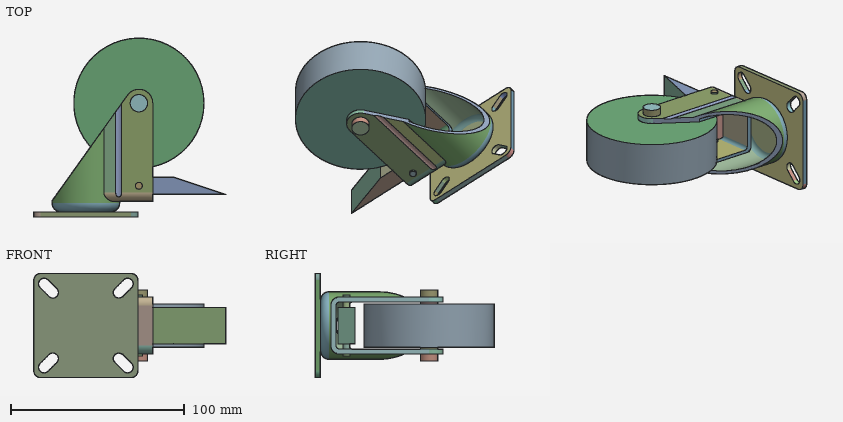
import cadquery as cq
import math


plate_side = 60.0
plate_thickness = 3.0
plate_corner_radius = 4.0
slot_radius = 3.15
slot_length = 13.4
slot_offset = 21.5
slot_angle = 45.0

cup_radius = 19.5
cup_wall = 2.0
cup_edge_radius = 5.0
slope_start_y = 9.3

wheel_radius = 37.5
wheel_width = 25.0
axle_x = 30.5
axle_y = 65.5
axle_radius = 5.0
axle_length = 41.0

fork_width = 33.0
fork_wall = 3.0
fork_bend_radius = 5.0
fork_start_x = 8.5
fork_base_y = 9.0
fork_eye_radius = 8.0
fork_end_x = axle_x + fork_eye_radius
fork_top_y = axle_y + fork_eye_radius

groove_x = 18.9
groove_radius = 2.8
groove_depth = 0.6

pedal_width = 21.0
pedal_thickness = 10.0
pedal_pin_y = 18.0
pedal_pin_radius = 2.0
pedal_pin_length = 35.0
pedal_flat_length = 20.0
pedal_reach = 50.0


def cylinder_along_y(x, z, radius, start_y, end_y):
    plane = cq.Plane(origin=(x, start_y, z), xDir=(1, 0, 0), normal=(0, 1, 0))
    return cq.Workplane(plane).circle(radius).extrude(end_y - start_y)


def cylinder_along_z(x, y, radius, length):
    return cq.Workplane("XY").center(x, y).circle(radius).extrude(length / 2, both=True)


def channel_block(width, start_y, bend_radius):
    """Block from the fork's start to its end, with its two lower long edges rounded."""
    block = cq.Workplane("XY").box(
        fork_end_x - fork_start_x, fork_top_y - start_y, width, centered=(False, False, True)
    )
    return block.edges("|X and <Y").fillet(bend_radius).translate((fork_start_x, start_y, 0))


def make_plate():
    plate = cq.Workplane("XZ").rect(plate_side, plate_side).extrude(-plate_thickness)
    plate = plate.edges("|Y").fillet(plate_corner_radius)
    for side_x in (-1, 1):
        for side_z in (-1, 1):
            slot = (
                cq.Workplane("XZ")
                .center(side_x * slot_offset, side_z * slot_offset)
                .slot2D(slot_length, 2 * slot_radius, slot_angle * side_x * side_z)
                .extrude(-plate_thickness)
            )
            plate = plate.cut(slot)
    return plate


def side_profile():
    """Solid bounded by the castor body's outline: a sloping front tangent to the fork eye."""
    slope_start_x = -cup_radius
    run = axle_x - slope_start_x
    rise = axle_y - slope_start_y
    slope = math.atan2(rise, run) + math.asin(fork_eye_radius / math.hypot(run, rise))
    tangent_x = axle_x - fork_eye_radius * math.sin(slope)
    tangent_y = axle_y + fork_eye_radius * math.cos(slope)
    return (
        cq.Workplane("XY")
        .moveTo(slope_start_x, 0)
        .lineTo(slope_start_x, slope_start_y)
        .lineTo(tangent_x, tangent_y)
        .threePointArc((axle_x, fork_top_y), (fork_end_x, axle_y))
        .lineTo(fork_end_x, 0)
        .close()
        .extrude(cup_radius, both=True)
    )


def make_body():
    """Swivel cup and fork, trimmed to the side outline."""
    cup = cylinder_along_y(0, 0, cup_radius, plate_thickness, fork_top_y)
    cup = cup.faces("<Y").edges().fillet(cup_edge_radius)
    cup_cavity = cylinder_along_y(0, 0, cup_radius - cup_wall, plate_thickness + cup_wall, fork_top_y)
    cup_cavity = cup_cavity.faces("<Y").edges().fillet(cup_edge_radius - cup_wall)

    fork = channel_block(fork_width, fork_base_y, fork_bend_radius)
    fork_cavity = channel_block(
        fork_width - 2 * fork_wall, fork_base_y + fork_wall, fork_bend_radius - fork_wall
    )
    body = cup.cut(cup_cavity).union(fork).cut(fork_cavity)

    for side in (-1, 1):
        groove_z = side * (fork_width / 2 + groove_radius - groove_depth)
        body = body.cut(cylinder_along_y(groove_x, groove_z, groove_radius, fork_base_y, fork_top_y))
    return body.intersect(side_profile())


def make_wheel():
    wheel = cylinder_along_z(axle_x, axle_y, wheel_radius, wheel_width)
    return wheel.union(cylinder_along_z(axle_x, axle_y, axle_radius, axle_length))


def make_pedal():
    """Tapered pedal with a rounded inner end, hung on a cross pin."""
    half_thickness = pedal_thickness / 2
    top_y = pedal_pin_y + half_thickness
    bottom_y = pedal_pin_y - half_thickness
    pedal = (
        cq.Workplane("XY")
        .moveTo(axle_x, bottom_y)
        .lineTo(axle_x + pedal_reach, bottom_y)
        .lineTo(axle_x + pedal_flat_length, top_y)
        .lineTo(axle_x, top_y)
        .threePointArc((axle_x - half_thickness, pedal_pin_y), (axle_x, bottom_y))
        .close()
        .extrude(pedal_width / 2, both=True)
    )
    return pedal.union(cylinder_along_z(axle_x, pedal_pin_y, pedal_pin_radius, pedal_pin_length))


result = make_plate().union(make_body()).union(make_wheel()).union(make_pedal())